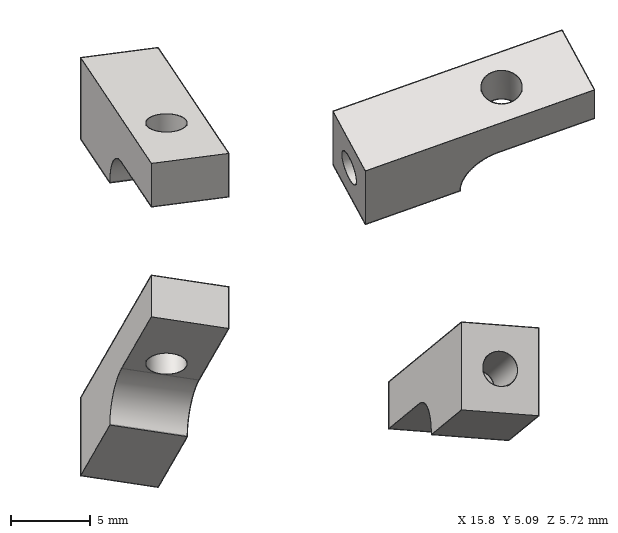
import cadquery as cq

LENGTH = 15.75
WIDTH = 5.09
HEIGHT = 5.72

HEAD_LENGTH = 6.52
RELIEF_HEIGHT = 2.66
RELIEF_RADIUS = 2.6

CROSS_HOLE_DIAMETER = 2.6
CROSS_HOLE_X = 10.47

END_HOLE_DIAMETER = 2.28
END_HOLE_DEPTH = 5.0


def make_body():
    """Side profile of head and arm, extruded across the width."""
    arc_start = (HEAD_LENGTH, RELIEF_HEIGHT - RELIEF_RADIUS)
    arc_end = (HEAD_LENGTH + RELIEF_RADIUS, RELIEF_HEIGHT)
    return (
        cq.Workplane("XZ")
        .lineTo(HEAD_LENGTH, 0)
        .lineTo(*arc_start)
        .radiusArc(arc_end, RELIEF_RADIUS)
        .lineTo(LENGTH, RELIEF_HEIGHT)
        .lineTo(LENGTH, HEIGHT)
        .lineTo(0, HEIGHT)
        .close()
        .extrude(WIDTH / 2, both=True)
    )


def make_cross_hole():
    """Vertical cutter through the full height."""
    return (
        cq.Workplane("XY")
        .center(CROSS_HOLE_X, 0)
        .circle(CROSS_HOLE_DIAMETER / 2)
        .extrude(HEIGHT)
    )


def make_end_hole():
    """Cutter along +X from the centre of the head's end face."""
    return (
        cq.Workplane("YZ")
        .center(0, HEIGHT / 2)
        .circle(END_HOLE_DIAMETER / 2)
        .extrude(END_HOLE_DEPTH)
    )


result = make_body().cut(make_cross_hole()).cut(make_end_hole())